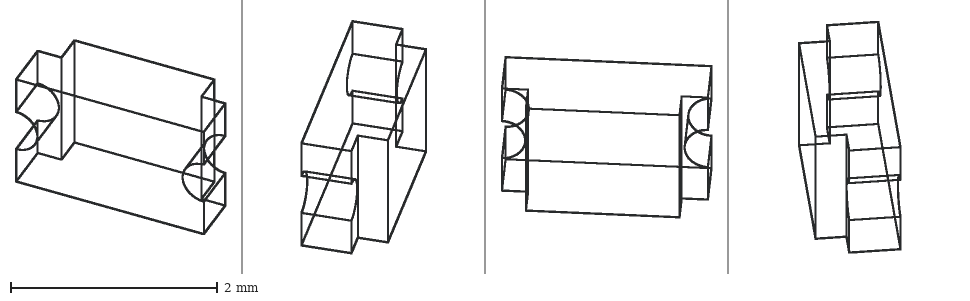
import cadquery as cq

length = 2.0
depth = 0.8
height = 1.25
base_depth = 0.5
body_length = 1.492
notch_radius = 0.225

body_depth = depth - base_depth

base = cq.Workplane("XY").box(length, base_depth, height, centered=(True, False, True))

notches = (
    cq.Workplane("XZ")
    .pushPoints([(-length / 2, 0), (length / 2, 0)])
    .circle(notch_radius)
    .extrude(-base_depth)
)

body = (
    cq.Workplane("XY")
    .box(body_length, body_depth, height, centered=(True, False, True))
    .translate((0, base_depth, 0))
)

result = base.cut(notches).union(body)